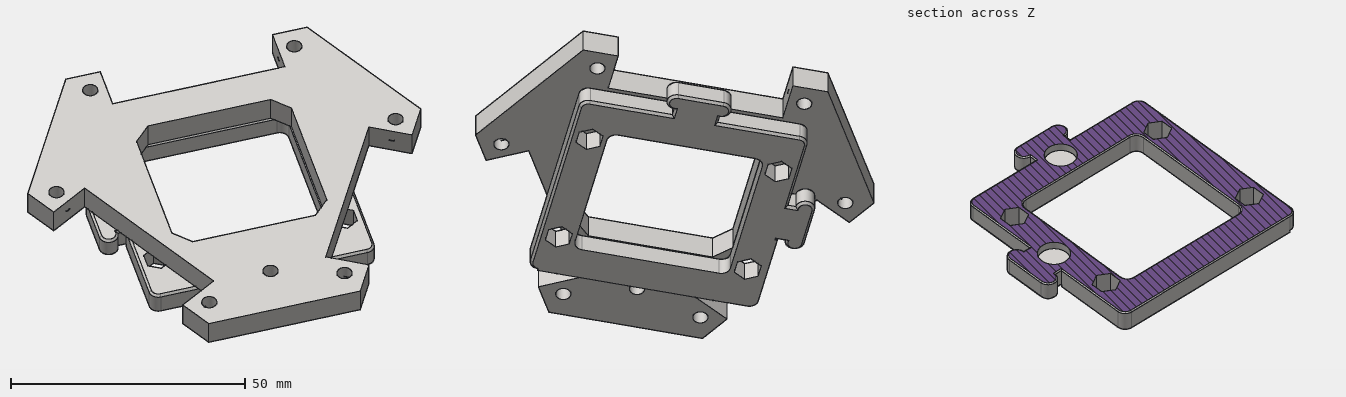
import cadquery as cq
import math

plate_height = 87.4
plate_thickness = 6.0
flank_distance = 35.0
arm_distance = plate_height * math.cos(math.radians(30)) - flank_distance
notch_floor_distance = 25.4
notch_half_width = 19.1
arm_count = 3
arm_pitch = 360 / arm_count

bolt_diameter = 3.2
bolt_distance = 34.9
bolt_half_spacing = 15.0
single_bolt_x = 29.9

window_size = 34.4
window_chamfer = 3.6

slit_width = 1.05
slit_height = 0.2

frame_size = 50.0
frame_thickness = 5.0
frame_corner_radius = 2.0
frame_opening = 34.1
opening_corner_radius = 2.0
top_chamfer = 0.5
bottom_chamfer = 0.56

tab_reach = 5.9
tab_head_length = 14.0
tab_head_width = 4.1
tab_neck_width = 10.0
tab_angles = (180, 270)

recess_diameter = 7.0
recess_depth = 2.0
recess_distance = 22.55

hex_diameter = 6.0
hex_spacing_x = 29.0
hex_spacing_y = 41.4

half_frame = frame_size / 2


def turned(body, angle):
    """Rotate a body about the vertical axis through the centre."""
    return body.rotate((0, 0, 0), (0, 0, 1), angle)


def on_circle(distance, offset, angle):
    """Turn the point (distance, offset) about the centre by an angle in degrees."""
    a = math.radians(angle)
    return (
        distance * math.cos(a) - offset * math.sin(a),
        distance * math.sin(a) + offset * math.cos(a),
    )


def plate_blank():
    """Six-sided plate: arm end sides alternate with flanks."""
    arm_half_width = (flank_distance - arm_distance * math.cos(math.radians(60))) / math.sin(math.radians(60))
    corners = []
    for arm in range(arm_count):
        for side in (-1, 1):
            corners.append(on_circle(arm_distance, side * arm_half_width, arm * arm_pitch))
    return cq.Workplane("XY").workplane(offset=frame_thickness).polyline(corners).close().extrude(plate_thickness)


def notch_cutter():
    """Notch through the flank on the -X side."""
    depth = flank_distance - notch_floor_distance
    return cq.Workplane("XY").box(
        depth, 2 * notch_half_width, plate_thickness, centered=(False, True, False)
    ).translate((-flank_distance, 0, frame_thickness))


def slit_cutter(bolt_point, side):
    """Slit from a notch side wall to the bolt hole next to the -X notch."""
    bolt_x, bolt_y = bolt_point
    length = abs(bolt_y) - notch_half_width
    middle_y = side * (notch_half_width + length / 2)
    return cq.Workplane("XY").box(slit_width, length, slit_height).translate(
        (bolt_x, middle_y, frame_thickness + plate_thickness / 2)
    )


def bolt_points():
    points = [(single_bolt_x, 0)]
    for arm in range(arm_count):
        for side in (-1, 1):
            points.append(on_circle(bolt_distance, side * bolt_half_spacing, arm * arm_pitch))
    return points


def make_plate():
    plate = plate_blank()
    for arm in range(arm_count):
        angle = arm * arm_pitch
        plate = plate.cut(turned(notch_cutter(), angle))
        for side in (-1, 1):
            bolt = on_circle(bolt_distance, side * bolt_half_spacing, side * arm_pitch)
            plate = plate.cut(turned(slit_cutter(bolt, side), angle))
    window = (
        cq.Workplane("XY").workplane(offset=frame_thickness)
        .rect(window_size, window_size).extrude(plate_thickness)
        .edges("|Z").chamfer(window_chamfer)
    )
    bolts = (
        cq.Workplane("XY").workplane(offset=frame_thickness)
        .pushPoints(bolt_points()).circle(bolt_diameter / 2).extrude(plate_thickness)
    )
    return plate.cut(window).cut(bolts)


def make_tab():
    """T-shaped tab pointing along +X: a neck and a round-ended head."""
    head_x = half_frame + tab_reach - tab_head_width / 2
    neck_length = head_x - half_frame + frame_corner_radius
    head = (
        cq.Workplane("XY").center(head_x, 0)
        .slot2D(tab_head_length, tab_head_width, 90).extrude(frame_thickness)
    )
    neck = cq.Workplane("XY").box(
        neck_length, tab_neck_width, frame_thickness, centered=(False, True, False)
    ).translate((head_x - neck_length, 0, 0))
    return head.union(neck)


def frame_block():
    """Square block with rounded corners."""
    return (
        cq.Workplane("XY").rect(frame_size, frame_size).extrude(frame_thickness)
        .edges("|Z").fillet(frame_corner_radius)
    )


def square_rim():
    """Stretch of the frame whose bottom edge stays sharp: -Y right of the tab, and the +X side."""
    start_x = tab_neck_width / 2
    end_y = half_frame - frame_corner_radius
    region = cq.Workplane("XY").box(
        half_frame - start_x, half_frame + end_y, bottom_chamfer, centered=False
    ).translate((start_x, -half_frame, 0))
    return frame_block().intersect(region)


def make_frame():
    frame = frame_block()
    for angle in tab_angles:
        frame = frame.union(turned(make_tab(), angle))
    frame = frame.faces("<Z").edges().chamfer(bottom_chamfer)
    frame = frame.union(square_rim())

    opening = (
        cq.Workplane("XY").rect(frame_opening, frame_opening).extrude(frame_thickness)
        .edges("|Z").fillet(opening_corner_radius)
    )
    frame = frame.cut(opening)
    frame = frame.faces(">Z").edges().chamfer(top_chamfer)

    hexes = (
        cq.Workplane("XY").rect(hex_spacing_x, hex_spacing_y, forConstruction=True).vertices()
        .polygon(6, hex_diameter).extrude(frame_thickness)
    )
    recesses = (
        cq.Workplane("XY").workplane(offset=frame_thickness)
        .pushPoints([on_circle(recess_distance, 0, angle) for angle in tab_angles])
        .circle(recess_diameter / 2).extrude(-recess_depth)
    )
    return frame.cut(hexes).cut(recesses)


plate = make_plate()
frame = make_frame()

result = cq.Compound.makeCompound([plate.val(), frame.val()])